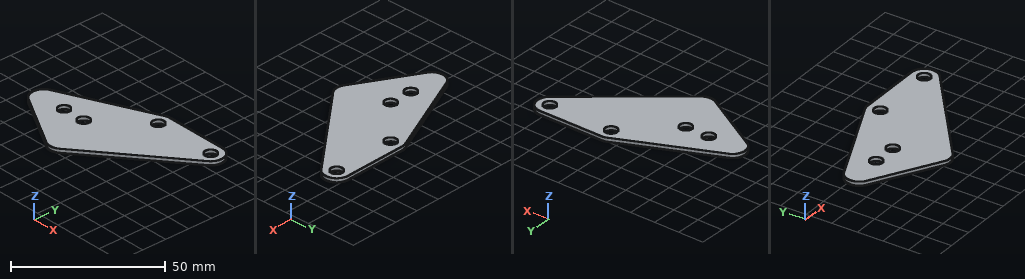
import cadquery as cq
import math

length = 72.7
width = 40.9
thickness = 1.6
corner_radius = 5.1
hole_diameter = 4.65

upper_y = 16.7
lower_y = upper_y - (width - 2 * corner_radius)
left_corner = (0.0, 0.0)
lower_corner = (24.4, lower_y)
tip_corner = (length - 2 * corner_radius, upper_y)
upper_corner = (37.1, upper_y)
corners = [left_corner, lower_corner, tip_corner, upper_corner]

inner_holes = [(9.9, 0.0), (19.4, 0.0)]
holes = inner_holes + [upper_corner, tip_corner]


def offset_point(center, angle):
    """Point on the corner circle in the given direction."""
    return (
        center[0] + corner_radius * math.cos(angle),
        center[1] + corner_radius * math.sin(angle),
    )


def outward_angle(start, end):
    """Direction of the outward normal of a counterclockwise edge."""
    return math.atan2(end[1] - start[1], end[0] - start[0]) - math.pi / 2


def rounded_outline(centers):
    """Straight edges tangent to equal circles around the given centres."""
    count = len(centers)
    normals = [outward_angle(centers[i], centers[(i + 1) % count]) for i in range(count)]
    outline = cq.Workplane("XY").moveTo(*offset_point(centers[0], normals[-1]))
    for i, center in enumerate(centers):
        arc_start = normals[i - 1]
        turn = (normals[i] - arc_start) % (2 * math.pi)
        arc_middle = offset_point(center, arc_start + turn / 2)
        outline = outline.threePointArc(arc_middle, offset_point(center, normals[i]))
        if i < count - 1:
            outline = outline.lineTo(*offset_point(centers[i + 1], normals[i]))
    return outline.close()


plate = rounded_outline(corners).extrude(thickness)
hole_cutters = cq.Workplane("XY").pushPoints(holes).circle(hole_diameter / 2).extrude(thickness)
result = plate.cut(hole_cutters)